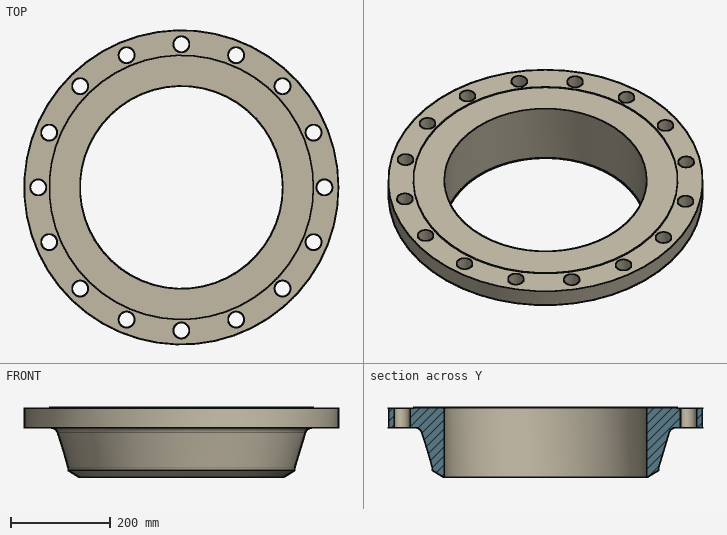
import cadquery as cq

flange_radius = 317.5
rim_top = 140.0
flange_thickness = 40.0
bore_radius = 204.5

raised_face_radius = 267.0
raised_face_height = 1.6

neck_root_radius = 253.5
neck_fillet_radius = 13.0
land_radius = 229.0
land_height = 6.0
bevel_height = 14.0
bevel_bottom_radius = 206.5

bolt_count = 16
bolt_circle_radius = 289.0
bolt_hole_diameter = 32.0

total_height = rim_top + raised_face_height
flange_bottom = rim_top - flange_thickness
land_top = bevel_height + land_height


def flange_and_neck():
    """Revolved flange body, with the neck root blended into the flange."""
    body = (
        cq.Workplane("XZ")
        .moveTo(bore_radius, 0)
        .lineTo(bevel_bottom_radius, 0)
        .lineTo(land_radius, bevel_height)
        .lineTo(land_radius, land_top)
        .lineTo(neck_root_radius, flange_bottom)
        .lineTo(flange_radius, flange_bottom)
        .lineTo(flange_radius, rim_top)
        .lineTo(raised_face_radius, rim_top)
        .lineTo(raised_face_radius, total_height)
        .lineTo(bore_radius, total_height)
        .close()
        .revolve(360, (0, 0, 0), (0, 1, 0))
    )
    neck_root = cq.selectors.RadiusNthSelector(-3)
    return body.edges("%CIRCLE").edges(neck_root).fillet(neck_fillet_radius)


def bolt_holes():
    """Cutters for the evenly spaced through holes."""
    return (
        cq.Workplane("XY")
        .polarArray(bolt_circle_radius, 0, 360, bolt_count)
        .circle(bolt_hole_diameter / 2)
        .extrude(total_height)
    )


result = flange_and_neck().cut(bolt_holes())